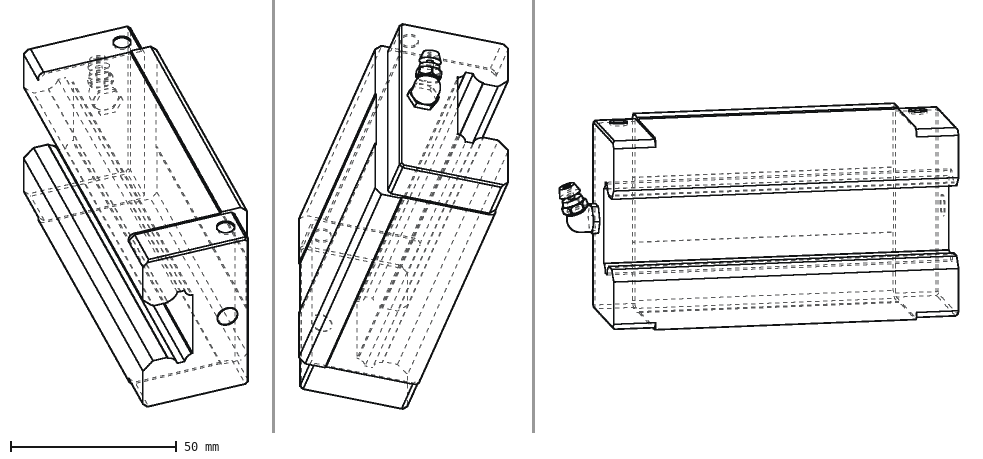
import cadquery as cq
import math

block_length = 80.0
block_depth = 38.0
block_half_width = 30.0
block_rear_chamfer = 2.0
block_front_radius = 2.0
side_step_height = 0.4
side_step_y = 29.4
rear_relief_width = 20.0
rear_relief_depth = 0.4

cap_length = 12.9
cap_depth = 34.0
cap_half_width = 29.0
cap_rear_chamfer = 1.0
cap_front_chamfer = 2.0
cap_end_chamfer = 0.6

channel_depth = 15.9
floor_half_width = 11.5
floor_ledge = 0.4
groove_half_width = 14.0
groove_y_inner = 13.4
groove_y_outer = 11.0
lip_half_width = 10.8
lip_y = 7.9
lip_step = 0.3
outer_arc_rise = 0.65
inner_arc_rise = 0.5
mouth_chamfer = 3.2

port_diameter = 5.4
port_depth = 0.6
port_inset = 7.0
port_y = 29.0
fitting_y = 27.0
plug_diameter = 6.4
plug_height = 0.3

base_flats = 8.2
base_thickness = 1.9
elbow_radius = 4.0
elbow_reach = 5.2

nipple_tilt = 21.5
hex_flats = 7.0
hex_round_radius = 3.95
hex_corner_trim = 0.5
hex_start = 3.0
hex_end = 5.5
collar_end = 7.0
collar_base_radius = 3.3
collar_tip_radius = 3.0
neck_radius = 1.0
head_start = 8.4
head_end = 11.1
head_base_radius = 3.3
head_tip_radius = 2.4
bore_radius = 1.1
check_ball_radius = 1.0

cap_end_x = block_length / 2 + cap_length
hex_corner_ratio = 2 / math.sqrt(3)


def extrude_along_x(profile, length):
    """Extrude a YZ profile symmetrically about X = 0."""
    return profile.extrude(length / 2, both=True)


def make_block():
    set_in = block_half_width - side_step_height
    step_end_y = side_step_y + side_step_height
    corner_offset = block_front_radius * (1 - math.sqrt(0.5))
    profile = (
        cq.Workplane("YZ")
        .moveTo(0, 0)
        .lineTo(0, set_in - block_front_radius)
        .threePointArc((corner_offset, set_in - corner_offset), (block_front_radius, set_in))
        .lineTo(side_step_y, set_in)
        .lineTo(step_end_y, block_half_width)
        .lineTo(block_depth - block_rear_chamfer, block_half_width)
        .lineTo(block_depth, block_half_width - block_rear_chamfer)
        .lineTo(block_depth, rear_relief_width / 2)
        .lineTo(block_depth - rear_relief_depth, rear_relief_width / 2)
        .lineTo(block_depth - rear_relief_depth, 0)
        .mirrorX()
    )
    return extrude_along_x(profile, block_length)


def make_caps():
    """Both end caps as one bar running through the block."""
    profile = (
        cq.Workplane("YZ")
        .moveTo(0, 0)
        .lineTo(0, cap_half_width - cap_front_chamfer)
        .lineTo(cap_front_chamfer, cap_half_width)
        .lineTo(cap_depth - cap_rear_chamfer, cap_half_width)
        .lineTo(cap_depth, cap_half_width - cap_rear_chamfer)
        .lineTo(cap_depth, 0)
        .mirrorX()
    )
    bar = extrude_along_x(profile, 2 * cap_end_x)
    behind_front_corners = cq.selectors.BoxSelector(
        (-2 * cap_end_x, cap_front_chamfer, -2 * cap_half_width),
        (2 * cap_end_x, 2 * cap_depth, 2 * cap_half_width),
        boundingbox=False,
    )
    for end in ("<X", ">X"):
        bar = bar.faces(end).edges(behind_front_corners).chamfer(cap_end_chamfer)
    return bar


def make_channel():
    """Rail channel with a ball groove in each flank."""
    ledge_y = channel_depth - floor_ledge
    profile = (
        cq.Workplane("YZ")
        .moveTo(0, 0)
        .lineTo(0, lip_half_width + mouth_chamfer)
        .lineTo(mouth_chamfer, lip_half_width)
        .lineTo(lip_y, lip_half_width)
        .lineTo(lip_y, lip_half_width + lip_step)
        .sagittaArc((groove_y_outer, groove_half_width), -outer_arc_rise)
        .lineTo(groove_y_inner, groove_half_width)
        .sagittaArc((ledge_y, floor_half_width), -inner_arc_rise)
        .lineTo(channel_depth, floor_half_width)
        .lineTo(channel_depth, 0)
        .mirrorX()
    )
    return extrude_along_x(profile, 2 * cap_end_x)


def make_ports():
    """Shallow round recesses in the +Z side of the caps."""
    port_x = cap_end_x - port_inset
    return (
        cq.Workplane("XY", origin=(0, 0, cap_half_width - port_depth))
        .pushPoints([(-port_x, port_y), (port_x, port_y)])
        .circle(port_diameter / 2)
        .extrude(port_depth)
    )


def make_plug():
    return (
        cq.Workplane("YZ", origin=(cap_end_x, fitting_y, 0))
        .circle(plug_diameter / 2)
        .extrude(plug_height)
    )


def make_elbow():
    """Hexagonal base, round stub and ball, pointing along -X from the cap face."""
    face = cq.Workplane("YZ", origin=(-cap_end_x, fitting_y, 0))
    base = face.polygon(6, base_flats * hex_corner_ratio).extrude(-base_thickness)
    stub = face.circle(elbow_radius).extrude(-elbow_reach)
    ball = cq.Workplane("XY", origin=(-cap_end_x - elbow_reach, fitting_y, 0)).sphere(elbow_radius)
    return base.union(stub).union(ball)


def make_nipple():
    """Grease nipple built along +Z, then tilted and moved onto the elbow ball."""
    turned = (
        cq.Workplane("XZ")
        .moveTo(0, 0)
        .lineTo(collar_tip_radius, 0)
        .lineTo(collar_base_radius, hex_end)
        .lineTo(collar_tip_radius, collar_end)
        .lineTo(neck_radius, collar_end)
        .lineTo(neck_radius, head_start)
        .lineTo(head_base_radius, head_start)
        .lineTo(head_tip_radius, head_end)
        .lineTo(0, head_end)
        .close()
        .revolve(360, (0, 0, 0), (0, 1, 0))
    )
    hex_plane = cq.Workplane("XY", origin=(0, 0, hex_start))
    hex_height = hex_end - hex_start
    hexagon = hex_plane.polygon(6, hex_flats * hex_corner_ratio).extrude(hex_height)
    trim = hex_plane.circle(hex_round_radius).extrude(hex_height).edges().chamfer(hex_corner_trim)
    ball_centre = cq.Workplane("XY", origin=(0, 0, head_end - check_ball_radius))
    bore = ball_centre.circle(bore_radius).extrude(check_ball_radius)
    check_ball = ball_centre.sphere(check_ball_radius)
    nipple = turned.union(hexagon.intersect(trim)).cut(bore).union(check_ball)
    tilted = nipple.rotate((0, 0, 0), (0, 1, 0), -nipple_tilt)
    return tilted.translate((-cap_end_x - elbow_reach, fitting_y, 0))


carriage = make_block().union(make_caps()).cut(make_channel()).cut(make_ports())
result = carriage.union(make_plug()).union(make_elbow()).union(make_nipple())